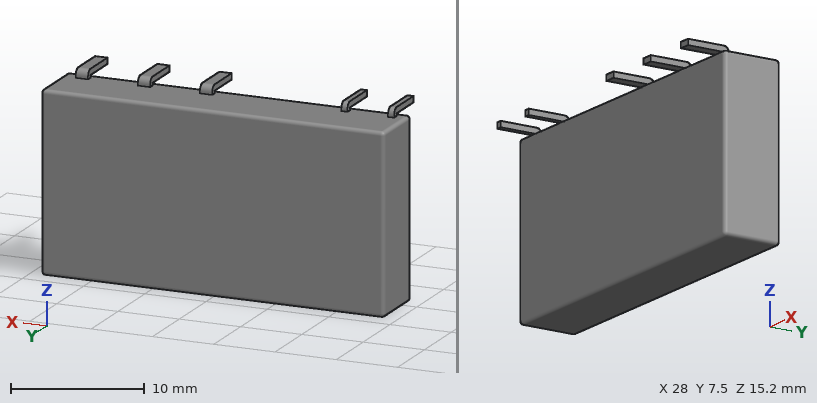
import cadquery as cq
import math

housing_length = 28.0
housing_width = 5.0
housing_height = 14.5
edge_radius = 0.3

overall_width = 7.5
overall_height = 15.2
terminal_thickness = 0.5
terminal_reach = 3.67

narrow_terminal_width = 0.5
narrow_terminal_pitch = 3.8
first_narrow_offset = 1.12
wide_terminal_width = 1.0
wide_terminal_pitch = 5.07
wide_terminal_count = 3
last_wide_offset = 1.65

terminal_tip_y = housing_width / 2 - overall_width
terminal_back_y = terminal_tip_y + terminal_reach


def make_housing():
    block = cq.Workplane("XY").box(
        housing_length, housing_width, housing_height, centered=(True, True, False)
    )
    return block.edges().fillet(edge_radius)


def make_terminal(center_x, width):
    """L-shaped strip with a sharp inner corner and a round outer bend."""
    inner_y = terminal_back_y - terminal_thickness
    underside_z = overall_height - terminal_thickness
    bend_mid = terminal_thickness * math.sqrt(0.5)
    profile = (
        cq.Workplane("YZ", origin=(center_x, 0, 0))
        .moveTo(terminal_back_y, housing_height)
        .lineTo(terminal_back_y, underside_z)
        .threePointArc(
            (inner_y + bend_mid, underside_z + bend_mid),
            (inner_y, overall_height),
        )
        .lineTo(terminal_tip_y, overall_height)
        .lineTo(terminal_tip_y, underside_z)
        .lineTo(inner_y, underside_z)
        .lineTo(inner_y, housing_height)
        .close()
    )
    return profile.extrude(width / 2, both=True)


first_narrow_x = -housing_length / 2 + first_narrow_offset
last_wide_x = housing_length / 2 - last_wide_offset

result = make_housing()

for center_x in (first_narrow_x, first_narrow_x + narrow_terminal_pitch):
    result = result.union(make_terminal(center_x, narrow_terminal_width))

for index in range(wide_terminal_count):
    center_x = last_wide_x - index * wide_terminal_pitch
    result = result.union(make_terminal(center_x, wide_terminal_width))